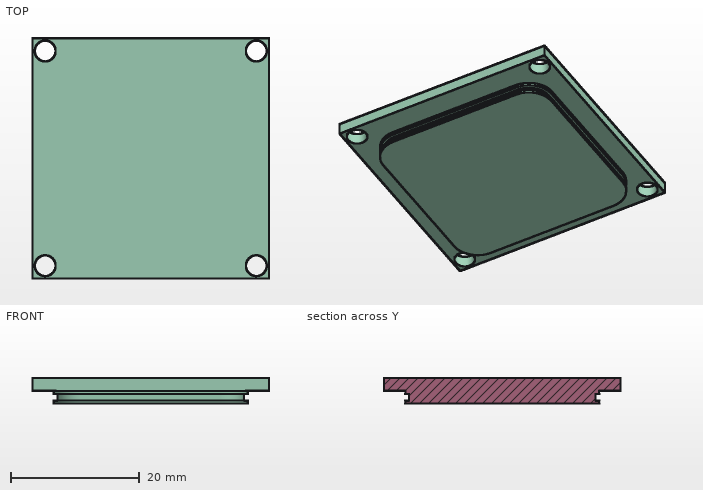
import cadquery as cq

plate_x = 36.8
plate_y = 37.35
plate_thickness = 2.0

hole_diameter = 3.2
hole_inset = 2.0

plug_size = 30.2
plug_height = 2.0
groove_depth = 0.6
lip_height = 0.5
corner_center_spacing = 22.0

plug_margin = (plate_x - plug_size) / 2
plug_center_y = -plate_y / 2 + plug_margin + plug_size / 2

plug_bottom_z = -plug_height
groove_bottom_z = plug_bottom_z + lip_height
groove_height = plug_height - 2 * lip_height
upper_lip_z = groove_bottom_z + groove_height


def make_plate():
    """Flat rectangular plate with a through hole in each corner."""
    plate = cq.Workplane("XY").rect(plate_x, plate_y).extrude(plate_thickness)
    holes = (
        cq.Workplane("XY")
        .rect(plate_x - 2 * hole_inset, plate_y - 2 * hole_inset, forConstruction=True)
        .vertices()
        .circle(hole_diameter / 2)
        .extrude(plate_thickness)
    )
    return plate.cut(holes)


def make_plug_layer(size, bottom_z, height):
    """Square slab whose rounded corners share the plug's corner centers."""
    corner_radius = (size - corner_center_spacing) / 2
    return (
        cq.Workplane("XY", origin=(0, plug_center_y, bottom_z))
        .rect(size, size)
        .extrude(height)
        .edges("|Z")
        .fillet(corner_radius)
    )


def make_plug():
    """Two equal lips with the narrower groove floor between them."""
    lower_lip = make_plug_layer(plug_size, plug_bottom_z, lip_height)
    groove_core = make_plug_layer(plug_size - 2 * groove_depth, groove_bottom_z, groove_height)
    upper_lip = make_plug_layer(plug_size, upper_lip_z, lip_height)
    return lower_lip.union(groove_core).union(upper_lip)


result = make_plate().union(make_plug())